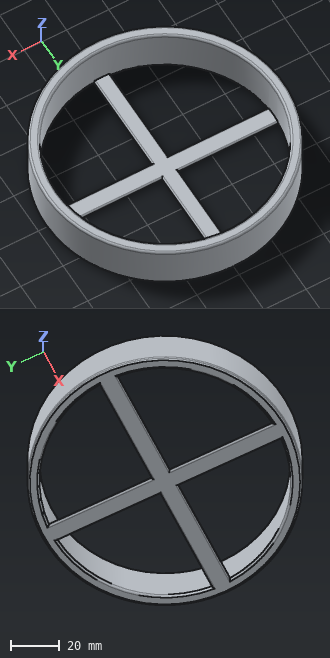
import cadquery as cq

outer_diameter = 112.5
inner_diameter = 102.5
ring_height = 22.0
rim_rounding = 1.0
bottom_chamfer = 1.0
chamfer_blend = 1.0

bar_thickness = 2.0
x_bar_width = 8.1
y_bar_width = 7.5
bar_rounding = 0.7


def make_ring():
    """Ring with rounded rims, except for a chamfered and blended outer bottom rim."""
    body = cq.Workplane("XY").circle(outer_diameter / 2).extrude(ring_height)
    body = body.faces("<Z").edges().chamfer(bottom_chamfer)
    blended_edge = cq.selectors.NearestToPointSelector((0, 0, bottom_chamfer))
    body = body.edges("%CIRCLE").edges(blended_edge).fillet(chamfer_blend)
    ring = body.cut(cq.Workplane("XY").circle(inner_diameter / 2).extrude(ring_height))
    ring = ring.faces(">Z").edges().fillet(rim_rounding)
    inner_rim = cq.selectors.RadiusNthSelector(0)
    return ring.faces("<Z").edges(inner_rim).fillet(rim_rounding)


def make_cross():
    """Two crossing bars with rounded top and bottom edges, ending inside the ring wall."""
    bar_length = (outer_diameter + inner_diameter) / 2
    x_bar = cq.Workplane("XY").rect(bar_length, x_bar_width).extrude(bar_thickness)
    y_bar = cq.Workplane("XY").rect(y_bar_width, bar_length).extrude(bar_thickness)
    return x_bar.union(y_bar).faces("<Z or >Z").edges().fillet(bar_rounding)


result = make_ring().union(make_cross())